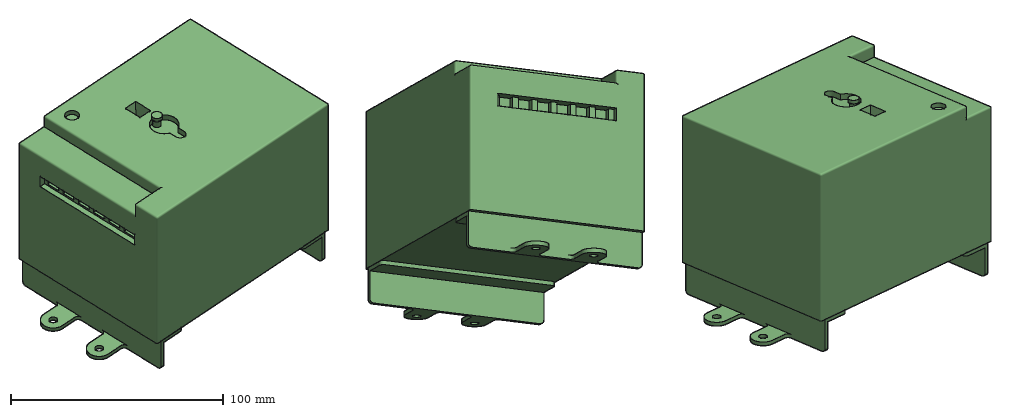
import cadquery as cq

WIDTH = 90.8
LENGTH = 144.6
HEIGHT = 97.6
CASE_LENGTH = 116.8
CASE_BOTTOM = 17.5
CASE_TOP = 94.7
OPENING_DEPTH = 3.0
EDGE_RADIUS = 1.0
TOLERANCE = 0.001
CASE_FRONT = -CASE_LENGTH / 2
WINDOW_FLOOR = CASE_FRONT + OPENING_DEPTH
KEYHOLE_FLOOR = CASE_TOP - OPENING_DEPTH

STEP_WIDTH = 75.9
STEP_LENGTH = 16.9
STEP_DEPTH = 6.4

WINDOW_X = -0.3
WINDOW_WIDTH = 61.6
WINDOW_BOTTOM = 69.7
WINDOW_TOP = 75.9
POCKET_COUNT = 6
POCKET_PITCH = 10.0
POCKET_WIDTH = 7.0
POCKET_BOTTOM = 70.7
POCKET_DEPTH = 3.0
POCKET_ROW_X = -0.6

KEYHOLE_Y = -6.5
KEYHOLE_RADIUS = 7.0
SLOT_WIDTH = 5.5
SLOT_END_X = 13.2
PIN_X = -4.8
PIN_HEAD_RADIUS = 2.6
PIN_HEAD_HEIGHT = 2.0
PIN_NECK_RADIUS = 2.0

RECESS_X = -16.5
RECESS_Y = -7.2
RECESS_WIDTH = 9.7
RECESS_LENGTH = 7.1
RECESS_INSET = 2.3
RECESS_DEPTH = 8.5
BUTTON_X = -35.9
BUTTON_Y = -31.8
BUTTON_HOLE_RADIUS = 3.5
BUTTON_RADIUS = 3.0
BUTTON_RECESS = 2.0

BRACKET_WIDTH = 90.5
SHEET = 2.0
BRACKET_Y = 55.7
FLANGE_LENGTH = 15.0
CORNER_RADIUS = 2.0
TAB_X = 15.0
TAB_WIDTH = 12.1
TAB_HOLE_DIAMETER = 4.0
TAB_ROOT_RADIUS = 2.0


def box(x_min, x_max, y_min, y_max, z_min, z_max):
    """Block given by its limits along each axis."""
    return (
        cq.Workplane("XY")
        .box(x_max - x_min, y_max - y_min, z_max - z_min, centered=False)
        .translate((x_min, y_min, z_min))
    )


def make_case():
    """Block with a step in its top front left corner and rounded outer edges."""
    left = -WIDTH / 2
    step_right = left + STEP_WIDTH
    step_back = CASE_FRONT + STEP_LENGTH
    step_floor = CASE_TOP - STEP_DEPTH
    case = box(left, -left, CASE_FRONT, -CASE_FRONT, CASE_BOTTOM, CASE_TOP)
    case = case.cut(box(left, step_right, CASE_FRONT, step_back, step_floor, CASE_TOP))

    def is_rounded(edge):
        middle = edge.Center()
        offsets = (middle.x - step_right, middle.y - step_back, middle.z - step_floor)
        step_faces_met = sum(abs(offset) < TOLERANCE for offset in offsets)
        return middle.z > CASE_BOTTOM + TOLERANCE and step_faces_met < 2

    rounded_edges = [edge for edge in case.edges().vals() if is_rounded(edge)]
    return case.newObject(rounded_edges).fillet(EDGE_RADIUS)


def window():
    """Shallow window in the front of the case."""
    left = WINDOW_X - WINDOW_WIDTH / 2
    right = WINDOW_X + WINDOW_WIDTH / 2
    return box(left, right, CASE_FRONT, WINDOW_FLOOR, WINDOW_BOTTOM, WINDOW_TOP)


def keyhole():
    """Round opening with a slot to its right."""
    slot_radius = SLOT_WIDTH / 2
    slot_straight = SLOT_END_X - slot_radius
    plane = cq.Workplane("XY", origin=(0, KEYHOLE_Y, KEYHOLE_FLOOR))
    opening = plane.circle(KEYHOLE_RADIUS).extrude(OPENING_DEPTH)
    slot = plane.center(slot_straight / 2, 0).rect(slot_straight, SLOT_WIDTH).extrude(OPENING_DEPTH)
    slot_end = plane.center(slot_straight, 0).circle(slot_radius).extrude(OPENING_DEPTH)
    return opening.union(slot).union(slot_end)


def tapered_recess():
    """Rectangular recess with leaning sides."""
    return (
        cq.Workplane("XY", origin=(RECESS_X, RECESS_Y, CASE_TOP))
        .rect(RECESS_WIDTH, RECESS_LENGTH)
        .workplane(offset=-RECESS_DEPTH)
        .rect(RECESS_WIDTH - 2 * RECESS_INSET, RECESS_LENGTH - 2 * RECESS_INSET)
        .loft(ruled=True)
    )


def button_gap():
    """Round hole that leaves a sunken button standing in its middle."""
    plane = cq.Workplane("XY", origin=(BUTTON_X, BUTTON_Y, KEYHOLE_FLOOR))
    hole = plane.circle(BUTTON_HOLE_RADIUS).extrude(OPENING_DEPTH)
    button = plane.circle(BUTTON_RADIUS).extrude(OPENING_DEPTH - BUTTON_RECESS)
    return hole.cut(button)


def indicator_pockets():
    """Row of pockets sunk into the window floor."""
    pockets = cq.Workplane("XY")
    for index in range(POCKET_COUNT):
        x = POCKET_ROW_X + (index - (POCKET_COUNT - 1) / 2) * POCKET_PITCH
        pockets = pockets.add(
            box(
                x - POCKET_WIDTH / 2, x + POCKET_WIDTH / 2,
                WINDOW_FLOOR, WINDOW_FLOOR + POCKET_DEPTH,
                POCKET_BOTTOM, WINDOW_TOP,
            )
        )
    return pockets.combine()


def make_pin():
    """Headed pin standing on the keyhole floor."""
    head_bottom = HEIGHT - PIN_HEAD_HEIGHT
    neck = (
        cq.Workplane("XY", origin=(PIN_X, KEYHOLE_Y, KEYHOLE_FLOOR))
        .circle(PIN_NECK_RADIUS)
        .extrude(head_bottom - KEYHOLE_FLOOR)
    )
    head = (
        cq.Workplane("XY", origin=(PIN_X, KEYHOLE_Y, head_bottom))
        .circle(PIN_HEAD_RADIUS)
        .extrude(PIN_HEAD_HEIGHT)
    )
    return neck.union(head)


def mounting_tab(x):
    """Round-ended tab with a screw hole, flared where it leaves the upright of the back bracket."""
    half_width = TAB_WIDTH / 2
    root_half = half_width + TAB_ROOT_RADIUS
    root_y = BRACKET_Y + TAB_ROOT_RADIUS
    hole_y = LENGTH / 2 - half_width
    return (
        cq.Workplane("XY", origin=(x, 0, 0))
        .moveTo(-root_half, BRACKET_Y - SHEET)
        .lineTo(-root_half, BRACKET_Y)
        .radiusArc((-half_width, root_y), -TAB_ROOT_RADIUS)
        .lineTo(-half_width, hole_y)
        .threePointArc((0, LENGTH / 2), (half_width, hole_y))
        .lineTo(half_width, root_y)
        .radiusArc((root_half, BRACKET_Y), -TAB_ROOT_RADIUS)
        .lineTo(root_half, BRACKET_Y - SHEET)
        .close()
        .moveTo(0, hole_y)
        .circle(TAB_HOLE_DIAMETER / 2)
        .extrude(SHEET)
    )


def back_bracket():
    """Bent sheet bracket at the back: flange under the case, upright and two tabs."""
    half_width = BRACKET_WIDTH / 2
    flange = box(
        -half_width, half_width, BRACKET_Y - FLANGE_LENGTH, BRACKET_Y, CASE_BOTTOM - SHEET, CASE_BOTTOM
    )
    flange = flange.edges("|Z and <Y").fillet(CORNER_RADIUS)
    upright = box(-half_width, half_width, BRACKET_Y - SHEET, BRACKET_Y, 0, CASE_BOTTOM)
    upright = upright.edges("|Y and <Z").fillet(CORNER_RADIUS)
    bracket = flange.union(upright)
    for x in (-TAB_X, TAB_X):
        bracket = bracket.union(mounting_tab(x))
    return bracket


def make_housing():
    """Case with all its openings and a bracket at each end."""
    housing = make_case()
    for opening in (window(), indicator_pockets(), keyhole(), tapered_recess(), button_gap()):
        housing = housing.cut(opening)
    bracket = back_bracket()
    return housing.union(bracket).union(bracket.mirror("XZ"))


housing = make_housing()
pin = make_pin()
result = cq.Compound.makeCompound([housing.val(), pin.val()])